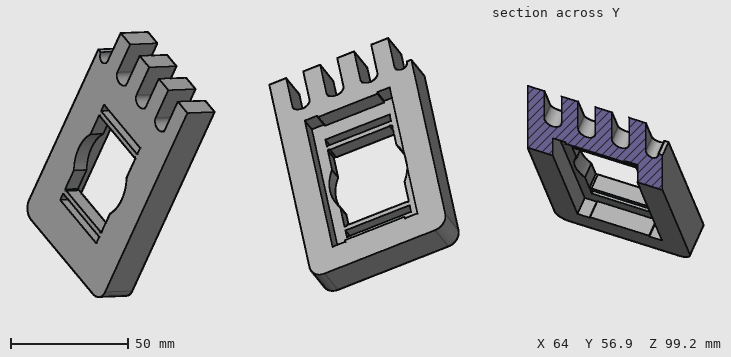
import cadquery as cq

tilt_from_horizontal = 65
plate_width = 64.0
plate_length = 102.5
plate_thickness = 15.0
corner_radius = 6

finger_count = 4
finger_pitch = plate_width / finger_count
finger_width = finger_pitch / 2
finger_length = 15.0
root_depth = 3
end_notch_diameter = 2 * root_depth

window_width = 30.3
window_height = 40.0
window_center_y = 44.9
bulge_diameter = 36.0
relief_diameter = 1.1
relief_depth = 0.3
strip_width = 2.3
slit_height = 3.5
slit_offset = window_height / 2 + strip_width + slit_height / 2

web_thickness = 7.0
pocket_width = 40.0
pocket_height = 65.1
pocket_corner_depth = 0.8
pocket_pad_width = window_width - 2 * relief_diameter


def through_box(center_x, center_y, width, height):
    """Rectangular cutter through the whole plate."""
    return (
        cq.Workplane("XY")
        .center(center_x, center_y)
        .rect(width, height)
        .extrude(-plate_thickness)
    )


def through_cylinder(center_x, center_y, diameter):
    """Round cutter through the whole plate."""
    return (
        cq.Workplane("XY")
        .center(center_x, center_y)
        .circle(diameter / 2)
        .extrude(-plate_thickness)
    )


def make_plate():
    plate = through_box(0, plate_length / 2, plate_width, plate_length)
    return plate.edges("|Z and <Y").fillet(corner_radius)


def cut_comb(plate):
    left = -plate_width / 2
    step_y = plate_length - finger_length
    opening_y = step_y + finger_length / 2
    for index in range(1, finger_count):
        slot_x = left + index * finger_pitch + finger_width / 2
        root = (
            cq.Workplane("XY")
            .center(slot_x, step_y)
            .ellipse(finger_width / 2, root_depth)
            .extrude(-plate_thickness)
        )
        opening = through_box(slot_x, opening_y, finger_width, finger_length)
        plate = plate.cut(opening).cut(root)

    opening = through_box(left + finger_width / 2, opening_y, finger_width, finger_length)
    notch = through_cylinder(left + finger_width - root_depth, step_y, end_notch_diameter)
    return plate.cut(opening).cut(notch)


def cut_window(plate):
    plate = plate.cut(through_box(0, window_center_y, window_width, window_height))
    plate = plate.cut(through_cylinder(0, window_center_y, bulge_diameter))
    relief_x = (window_width - relief_diameter) / 2
    relief_y = window_height / 2 + relief_depth - relief_diameter / 2
    for side in (-1, 1):
        plate = plate.cut(
            through_box(0, window_center_y + side * slit_offset, window_width, slit_height)
        )
        for end in (-1, 1):
            plate = plate.cut(
                through_cylinder(end * relief_x, window_center_y + side * relief_y, relief_diameter)
            )
    return plate


def cut_back_pocket(plate):
    side_height = pocket_height + 2 * pocket_corner_depth
    side_width = (pocket_width - pocket_pad_width) / 2
    side_x = (pocket_width - side_width) / 2
    pocket = through_box(0, window_center_y, pocket_width, pocket_height)
    for side in (-1, 1):
        pocket = pocket.union(through_box(side * side_x, window_center_y, side_width, side_height))
    return plate.cut(pocket.translate((0, 0, -web_thickness)))


flat_part = cut_back_pocket(cut_window(cut_comb(make_plate())))
result = flat_part.rotate((0, 0, 0), (1, 0, 0), tilt_from_horizontal)